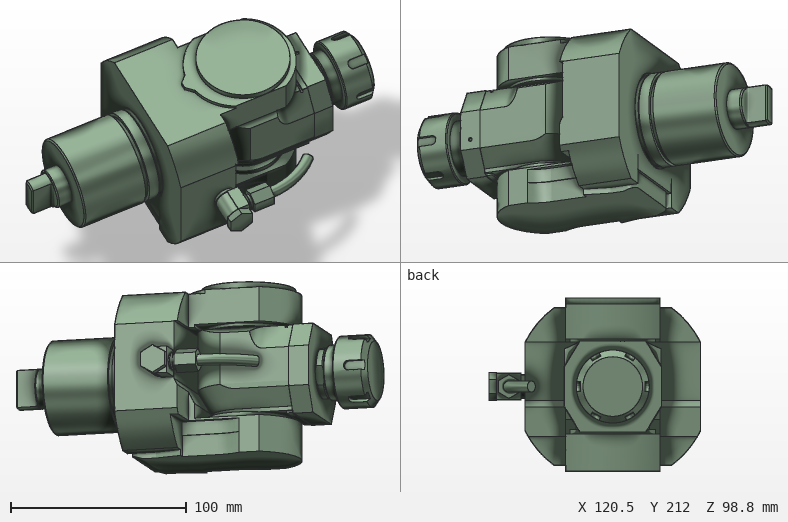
import cadquery as cq
import math


flange_half_width = 50.0
flange_half_height = 45.0
flange_corner_radius = 56.0
flange_thickness = 37.0

shank_diameter = 54.0
shank_length = 49.8
shank_end_chamfer = 0.8
neck_diameter = 52.5
neck_length = 1.3
face_groove_diameter = 55.1
face_groove_depth = 0.8
groove_diameter = 49.8
groove_front = 8.3
groove_width = 2.5
tang_diameter = 23.0
tang_shoulder = 9.0
tang_length = 21.8
tang_thickness = 8.3
tang_root_fillet = 1.7
tang_chamfer = 0.8

pivot_y = 65.0
trunnion_diameter = 48.8
arm_half_width = 27.0
arm_end_radius = 30.3
fork_half_gap = 27.1
upper_arm_top = 47.0
cap_diameter = 53.6
cap_top = 50.5
boss_y = 60.9
boss_radius = 30.3
nose_tip_y = 27.0
nose_tip_half_width = 2.0
nose_root_half_width = 6.4
lower_arm_bottom = -48.3

pocket_y = 35.2
pocket_wall_y = pivot_y - trunnion_diameter / 2
pocket_slope_top = -8.0
pocket_slope_bottom = -18.7
lower_relief_y = 32.5
lower_relief_top = -28.5

tongue_half_width = 23.3
tongue_top = -36.3
tongue_front_y = 1.7
tongue_corner_radius = 4.7
tongue_straight_end_y = 17
tongue_slope_y = 9.3
tongue_slope_rise = 2.8
seat_top = -27.5
seat_depth = 0.2

side_pocket_back_y = 67.2
side_pocket_tangent_y = 53.9
side_pocket_depth = 3.5
upper_side_pocket_depth = 3.0

head_half_width = 27.5
side_taper = 1.3
head_top = 25.5
head_bottom = -24.4
head_rear_radius = 29.0
head_front_y = 108.5
cone_top = -8.5
cone_bottom = -22.0
cone_small_radius = 21.0
cover_back_y = 96.7
cover_step = 0.2
cover_half_height = 25.9
corner_half_width = 18.9
corner_half_height = 11.5
scoop_start_y = 81.0
scoop_radius = 8.0
shoulder_drop = 4.0
bottom_lip_width = 3.8
bottom_lip_height = 1.0
top_groove_y = 92.2
top_groove_width = 1.3
top_groove_depth = 1.3
mark_diameter = 2.1
mark_depth = 1.0
mark_offset = 5.5
mark_y = 102.6

spindle_diameter = 30.5
spindle_chamfer = 0.8
spindle_flat_distance = 14.2
spindle_flat_turn = 15
collar_diameter = 32.0
collar_back_y = 113.6
collar_chamfer = 0.6
nut_diameter = 41.5
nut_back_y = 120.5
nut_front_y = 140.4
nut_chamfer_length = 3.0
nut_chamfer_depth = 3.8
nut_back_chamfer = 0.6
nut_slot_count = 6
nut_slot_width = 5.5
nut_slot_floor = 18.5
nut_slot_end_y = 127.2

hexagon_sides = 6
elbow_y = 28.5
elbow_diameter = 14.5
elbow_half_height = 7.6
elbow_start_x = 52.2
elbow_end_x = 66.4
elbow_stub_diameter = 13.5
plug_end_x = 70.5
plug_across_corners = 16.1
pipe_x = 59.2
pipe_neck_diameter = 8.3
pipe_ring_diameter = 9.8
pipe_ring_offset = 1.0
pipe_ring_width = 1.3
pipe_nut_start_y = 39.6
pipe_nut_end_y = 52.2
pipe_nut_across_corners = 13.5
pipe_diameter = 6.4
pipe_bend_radius = 43.7
pipe_bend_angle = 45


def box(x_range, y_range, z_range):
    """Box between the given limits."""
    size = [limits[1] - limits[0] for limits in (x_range, y_range, z_range)]
    corner = (x_range[0], y_range[0], z_range[0])
    return cq.Workplane(cq.Solid.makeBox(*size, cq.Vector(*corner)))


def y_cylinder(diameter, y_range, x=0):
    """Cylinder along Y at height Z = 0."""
    solid = cq.Solid.makeCylinder(diameter / 2, y_range[1] - y_range[0],
                                  cq.Vector(x, y_range[0], 0), cq.Vector(0, 1, 0))
    return cq.Workplane(solid)


def z_cylinder(radius, z_range, y=pivot_y):
    """Cylinder along Z, on the swivel axis unless another Y is given."""
    solid = cq.Solid.makeCylinder(radius, z_range[1] - z_range[0], cq.Vector(0, y, z_range[0]))
    return cq.Workplane(solid)


def mirrored(tool):
    """A tool together with its mirror image across X = 0."""
    return tool.union(tool.mirror("YZ"))



def make_flange():
    block = box((-flange_half_width, flange_half_width), (0, flange_thickness),
                (-flange_half_height, flange_half_height))
    return block.intersect(y_cylinder(2 * flange_corner_radius, (0, flange_thickness)))


def make_face_groove():
    """Ring groove in the flange's front face around the neck."""
    y_range = (0, face_groove_depth)
    return y_cylinder(face_groove_diameter, y_range).cut(y_cylinder(neck_diameter, y_range))


def make_shank():
    neck = y_cylinder(neck_diameter, (-neck_length, 0))
    barrel = y_cylinder(shank_diameter, (-shank_length, -neck_length))
    barrel = barrel.faces("<Y or >Y").chamfer(shank_end_chamfer)
    groove_back = -groove_front - groove_width
    ring = y_cylinder(2 * shank_diameter, (groove_back, -groove_front))
    ring = ring.cut(y_cylinder(groove_diameter, (groove_back, -groove_front)))
    return neck.union(barrel.cut(ring))


def make_tang():
    end_y = -shank_length - tang_length
    shoulder_y = -shank_length - tang_shoulder
    stub = y_cylinder(tang_diameter, (shoulder_y, -shank_length)).faces("<Y").chamfer(tang_chamfer)
    blade = y_cylinder(tang_diameter, (end_y, shoulder_y))
    half = tang_thickness / 2
    side = (
        cq.Workplane("XY")
        .moveTo(half, end_y)
        .lineTo(half, shoulder_y - tang_root_fillet)
        .tangentArcPoint((half + tang_root_fillet, shoulder_y), relative=False)
        .lineTo(tang_diameter, shoulder_y)
        .lineTo(tang_diameter, end_y)
        .close()
        .extrude(tang_diameter, both=True)
    )
    blade = blade.cut(mirrored(side)).faces("<Y").chamfer(tang_chamfer)
    return stub.union(blade)


def make_arm(z_range, front_y):
    """Fork arm with straight sides and a round end about the swivel axis."""
    straight_end_y = pivot_y + math.sqrt(arm_end_radius**2 - arm_half_width**2)
    return (
        cq.Workplane("XY", origin=(0, 0, z_range[0]))
        .moveTo(-arm_half_width, front_y)
        .lineTo(-arm_half_width, straight_end_y)
        .threePointArc((0, pivot_y + arm_end_radius), (arm_half_width, straight_end_y))
        .lineTo(arm_half_width, front_y)
        .close()
        .extrude(z_range[1] - z_range[0])
    )


def make_upper_boss():
    """Raised round face on the upper arm, with a pointed nose towards the shank."""
    z_range = (flange_half_height, upper_arm_top)
    disc = z_cylinder(boss_radius, z_range, boss_y)
    nose_root_y = boss_y - math.sqrt(boss_radius**2 - nose_root_half_width**2)
    nose = (
        cq.Workplane("XY", origin=(0, 0, flange_half_height))
        .polyline([
            (-nose_root_half_width, nose_root_y),
            (-nose_tip_half_width, nose_tip_y),
            (nose_tip_half_width, nose_tip_y),
            (nose_root_half_width, nose_root_y),
            (0, boss_y),
        ])
        .close()
        .extrude(upper_arm_top - flange_half_height)
    )
    keep = box((-arm_half_width, arm_half_width), (0, pivot_y), z_range)
    return disc.union(nose).intersect(keep)


def make_fork_pocket():
    """Clearance for the round and conical back of the swivel head, cut straight along X."""
    return (
        cq.Workplane("YZ")
        .polyline([
            (pivot_y, fork_half_gap),
            (pocket_wall_y, fork_half_gap),
            (pocket_wall_y, head_top),
            (pocket_y, head_top),
            (pocket_y, pocket_slope_top),
            (pocket_wall_y, pocket_slope_bottom),
            (pocket_wall_y, -fork_half_gap),
            (pivot_y, -fork_half_gap),
        ])
        .close()
        .extrude(flange_half_width, both=True)
    )


def make_tongue():
    """Plate under the flange with round front corners, widening to the arm."""
    corner_x = tongue_half_width - tongue_corner_radius
    corner_y = tongue_front_y + tongue_corner_radius
    half = (
        cq.Workplane("XY", origin=(0, 0, lower_arm_bottom))
        .moveTo(0, tongue_front_y)
        .lineTo(corner_x, tongue_front_y)
        .tangentArcPoint((tongue_half_width, corner_y), relative=False)
        .lineTo(tongue_half_width, tongue_straight_end_y)
        .lineTo(arm_half_width, lower_relief_y)
        .lineTo(arm_half_width, pivot_y)
        .lineTo(0, pivot_y)
        .close()
        .extrude(tongue_top - lower_arm_bottom)
    )
    slope = (
        cq.Workplane("YZ")
        .polyline([
            (0, lower_arm_bottom),
            (0, lower_arm_bottom + tongue_slope_rise),
            (tongue_slope_y, lower_arm_bottom),
        ])
        .close()
        .extrude(arm_half_width, both=True)
    )
    return mirrored(half).cut(slope)


def make_tongue_seat():
    """Slot in the flange around the tongue's front end, with a tapered recess above it."""
    slot_end_y = tongue_front_y + tongue_corner_radius
    return (
        cq.Workplane("YZ")
        .polyline([
            (0, seat_top),
            (seat_depth, tongue_top),
            (slot_end_y, tongue_top),
            (slot_end_y, -flange_half_height),
            (0, -flange_half_height),
        ])
        .close()
        .extrude(tongue_half_width, both=True)
    )


def make_side_pocket(depth, z_range):
    """Shallow pocket in both sides of the lower arm, running out in an arc at the back."""
    floor_x = arm_half_width - depth
    outside_x = arm_half_width + 2.1
    pocket = (
        cq.Workplane("XY", origin=(0, 0, z_range[0]))
        .moveTo(outside_x, lower_relief_y)
        .lineTo(floor_x, lower_relief_y)
        .lineTo(floor_x, side_pocket_tangent_y)
        .tangentArcPoint((arm_half_width, side_pocket_back_y), relative=False)
        .lineTo(outside_x, side_pocket_back_y)
        .close()
        .extrude(z_range[1] - z_range[0])
    )
    return mirrored(pocket)


def make_housing():
    web = box((-arm_half_width, arm_half_width), (0, pocket_wall_y), (-fork_half_gap, fork_half_gap))
    body = make_flange().union(web).cut(make_fork_pocket())
    relief = box((-flange_half_width, flange_half_width), (lower_relief_y, flange_thickness),
                 (-flange_half_height, lower_relief_top))
    body = body.cut(relief).cut(make_tongue_seat()).cut(make_face_groove())
    upper_arm = make_arm((fork_half_gap, flange_half_height), flange_thickness)
    upper_cap = make_arm((flange_half_height, upper_arm_top), pivot_y)
    lower_arm = make_arm((lower_arm_bottom, -fork_half_gap), lower_relief_y)
    body = body.union(upper_arm).union(upper_cap).union(lower_arm)
    body = body.union(make_upper_boss()).union(make_tongue())
    body = body.union(z_cylinder(cap_diameter / 2, (upper_arm_top, cap_top)))
    body = body.cut(make_side_pocket(upper_side_pocket_depth, (tongue_top, lower_relief_top)))
    body = body.cut(make_side_pocket(side_pocket_depth, (lower_arm_bottom, tongue_top)))
    return body.union(make_shank()).union(make_tang())



def make_head_block():
    """Head with a round back that narrows to a cone below."""
    half_profile = [
        (0, head_top),
        (head_rear_radius, head_top),
        (head_rear_radius, cone_top),
        (cone_small_radius, cone_bottom),
        (cone_small_radius, head_bottom),
        (0, head_bottom),
    ]
    rear = (
        cq.Workplane("XZ", origin=(0, pivot_y, 0))
        .polyline(half_profile)
        .close()
        .revolve(360, (0, 0, 0), (0, 1, 0))
    )
    front = (
        cq.Workplane("XZ", origin=(0, pivot_y, 0))
        .polyline(half_profile)
        .close()
        .extrude(pivot_y - cover_back_y)
    )
    bottom_half_width = head_half_width - side_taper
    keep = (
        cq.Workplane("XZ")
        .polyline([
            (-bottom_half_width, head_bottom),
            (-head_half_width, cone_top),
            (-head_half_width, head_top - shoulder_drop),
            (-corner_half_width, head_top),
            (corner_half_width, head_top),
            (head_half_width, head_top - shoulder_drop),
            (head_half_width, cone_top),
            (bottom_half_width, head_bottom),
        ])
        .close()
        .extrude(-cover_back_y)
    )
    return rear.union(mirrored(front)).intersect(keep)


def make_scoop():
    """Cut along the upper edges of the head that ends in a round run-out."""
    run = cq.Vector(head_half_width - corner_half_width, 0, corner_half_height - cover_half_height)
    edge = (corner_half_width, 0, cover_half_height - cover_step)
    plane = cq.Plane(edge, xDir=(0, 1, 0), normal=run.toTuple())
    scoop = (
        cq.Workplane(plane)
        .moveTo(cover_back_y, 0)
        .lineTo(scoop_start_y, 0)
        .tangentArcPoint((scoop_start_y - scoop_radius, scoop_radius), relative=False)
        .lineTo(cover_back_y, scoop_radius)
        .close()
        .extrude(head_half_width, both=True)
    )
    return mirrored(scoop)


def make_cover():
    """Eight-sided front cover, standing a little proud of the head all round."""
    half_width = head_half_width + cover_step
    return (
        cq.Workplane("XZ", origin=(0, cover_back_y, 0))
        .polyline([
            (half_width, corner_half_height),
            (corner_half_width, cover_half_height),
            (-corner_half_width, cover_half_height),
            (-half_width, corner_half_height),
            (-half_width, -corner_half_height),
            (-corner_half_width, -cover_half_height),
            (corner_half_width, -cover_half_height),
            (half_width, -corner_half_height),
        ])
        .close()
        .extrude(cover_back_y - head_front_y)
    )


def make_marks():
    """Small blind holes in the top and left faces of the cover."""
    top = cq.Solid.makeCylinder(mark_diameter / 2, mark_depth,
                                cq.Vector(-mark_offset, mark_y, cover_half_height - mark_depth))
    left_start = cq.Vector(-head_half_width - cover_step, mark_y, -mark_offset)
    left = cq.Solid.makeCylinder(mark_diameter / 2, mark_depth, left_start, cq.Vector(1, 0, 0))
    return cq.Workplane(top).add(left).combine()


def make_spindle():
    """Round spindle with four wrench flats and a collar."""
    y_range = (head_front_y, collar_back_y)
    flats = box((-spindle_flat_distance, spindle_flat_distance), y_range,
                (-spindle_flat_distance, spindle_flat_distance))
    flats = flats.rotate((0, 0, 0), (0, 1, 0), spindle_flat_turn)
    spindle = y_cylinder(spindle_diameter, y_range).faces("<Y or >Y").chamfer(spindle_chamfer)
    spindle = spindle.intersect(flats)
    collar = y_cylinder(collar_diameter, (collar_back_y, nut_back_y)).faces("<Y").chamfer(collar_chamfer)
    return spindle.union(collar)


def make_nut():
    """Collet nut with wrench slots open to its front."""
    nut = y_cylinder(nut_diameter, (nut_back_y, nut_front_y))
    nut = nut.faces("<Y").chamfer(nut_back_chamfer)
    nut = nut.faces(">Y").chamfer(nut_chamfer_length, nut_chamfer_depth)
    slot_centre_y = nut_slot_end_y + nut_slot_width / 2
    slot = (
        cq.Workplane("XY", origin=(0, 0, nut_slot_floor))
        .moveTo(-nut_slot_width / 2, nut_front_y)
        .lineTo(-nut_slot_width / 2, slot_centre_y)
        .threePointArc((0, nut_slot_end_y), (nut_slot_width / 2, slot_centre_y))
        .lineTo(nut_slot_width / 2, nut_front_y)
        .close()
        .extrude(nut_diameter)
    )
    for index in range(nut_slot_count):
        angle = (index + 0.5) * 360 / nut_slot_count
        nut = nut.cut(slot.rotate((0, 0, 0), (0, 1, 0), angle))
    return nut


def make_head():
    groove = box((-head_half_width, head_half_width), (top_groove_y, top_groove_y + top_groove_width),
                 (head_top - top_groove_depth, head_top))
    head = make_head_block().cut(make_scoop()).cut(groove)
    lip = box((-corner_half_width, corner_half_width), (cover_back_y - bottom_lip_width, cover_back_y),
              (head_bottom - bottom_lip_height, head_bottom))
    upper_trunnion = z_cylinder(trunnion_diameter / 2, (head_top, fork_half_gap))
    lower_trunnion = z_cylinder(trunnion_diameter / 2, (-fork_half_gap, head_bottom))
    head = head.union(lip).union(upper_trunnion).union(lower_trunnion)
    head = head.union(make_cover()).cut(make_marks())
    return head.union(make_spindle()).union(make_nut())



def make_elbow():
    """Elbow with a round front half, a square back half and a six-sided plug."""
    stub = cq.Workplane("YZ", origin=(flange_half_width, elbow_y, 0)).circle(elbow_stub_diameter / 2)
    stub = stub.extrude(elbow_start_x - flange_half_width)
    radius = elbow_diameter / 2
    length = elbow_end_x - elbow_start_x
    round_half = cq.Workplane("YZ", origin=(elbow_start_x, elbow_y, 0)).circle(radius).extrude(length)
    square_half = box((elbow_start_x, elbow_end_x), (elbow_y, elbow_y + radius),
                      (-elbow_half_height, elbow_half_height))
    plug = cq.Workplane("YZ", origin=(elbow_end_x, elbow_y, 0)).transformed(rotate=(0, 0, 90))
    plug = plug.polygon(hexagon_sides, plug_across_corners).extrude(plug_end_x - elbow_end_x)
    return stub.union(round_half).union(square_half).union(plug)


def make_pipe():
    """Grooved neck, six-sided nut and bent pipe."""
    neck_start = elbow_y + elbow_diameter / 2
    neck = y_cylinder(pipe_neck_diameter, (neck_start, pipe_nut_start_y), pipe_x)
    ring_start = neck_start + pipe_ring_offset
    ring = y_cylinder(pipe_ring_diameter, (ring_start, ring_start + pipe_ring_width), pipe_x)
    nut = cq.Workplane("XZ", origin=(pipe_x, pipe_nut_start_y, 0)).transformed(rotate=(0, 0, 90))
    nut = nut.polygon(hexagon_sides, pipe_nut_across_corners).extrude(pipe_nut_start_y - pipe_nut_end_y)
    pipe = (
        cq.Workplane("XZ", origin=(pipe_x, pipe_nut_end_y, 0))
        .circle(pipe_diameter / 2)
        .revolve(pipe_bend_angle, (-pipe_bend_radius, 0, 0), (-pipe_bend_radius, 1, 0))
    )
    return neck.union(ring).union(nut).union(pipe)


housing = make_housing()
swivel_head = make_head()
coolant_line = make_elbow().union(make_pipe())

result = cq.Compound.makeCompound([housing.val(), swivel_head.val(), coolant_line.val()])